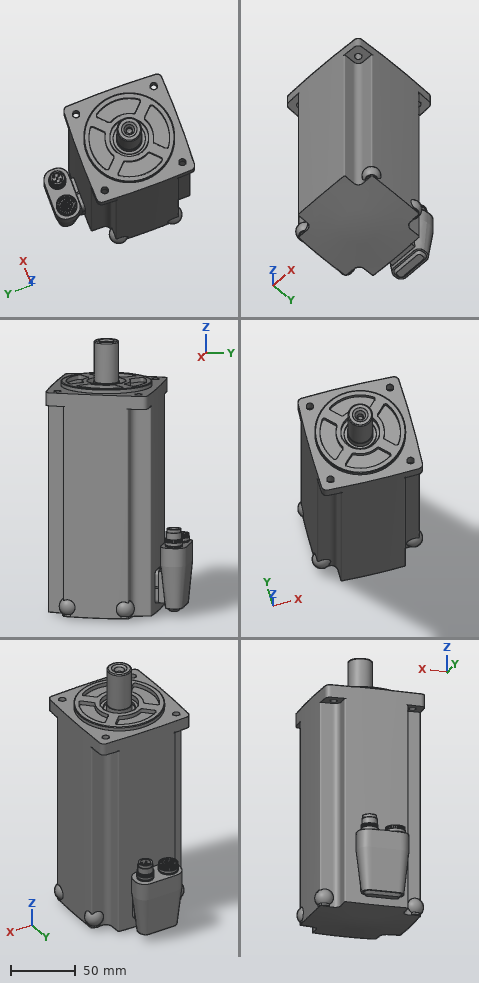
import cadquery as cq
import math

TOTAL_HEIGHT = 213
HALF_WIDTH = 41.1
HALF_WIDTH_AT_CORNER = 40.0
FLANGE_CORNER_RADIUS = 4.0
FLANGE_TOP = 178.0
BOTTOM_CONE_ANGLE = 3.2

NOTCH_TOP = 167.8
NOTCH_START = 25.8
NOTCH_INNER_RADIUS = 5.1
NOTCH_EDGE_RADIUS = 1.0

MOUNT_HOLE_DIAMETER = 5.5
MOUNT_HOLE_OFFSET = 32

PILOT_DIAMETER = 70.3
PILOT_TOP = 181.5
PILOT_CHAMFER = 0.6
POCKET_INNER_RADIUS = 18.7
POCKET_OUTER_RADIUS = 31.0
POCKET_RIB_WIDTH = 8.0
POCKET_CORNER_RADIUS = 1.7

SHAFT_DIAMETER = 19.0
SHAFT_CHAMFER = 0.9
COLLAR_DIAMETER = 20.0
COLLAR_TOP = 181
RECESS_DIAMETER = 30.0
RECESS_DEPTH = 4.0
SEAL_BORE_DIAMETER = 25.0
SEAL_BORE_DEPTH = 6.0

CENTRE_MOUTH_DIAMETER = 12.0
CENTRE_SEAT_DIAMETER = 8.0
CENTRE_DRILL_DIAMETER = 5.0
CENTRE_MOUTH_DEPTH = 1.3
CENTRE_SEAT_DEPTH = 4.0
CENTRE_DRILL_DEPTH = 8.5
DRILL_POINT_ANGLE = 118

BALL_DIAMETER = 14.7
BALL_X = 36.53
BALL_Y = 22.2
BALL_Z = 10.0
BALL_FOOT_DIAMETER = 9.8
BALL_FOOT_BOTTOM = 3.0

HOUSING_BACK = 65.4
HOUSING_WIDTH = 41.0
HOUSING_THICKNESS = 20.0
HOUSING_CORNER_RADIUS = 8.5
HOUSING_Y = HOUSING_BACK - HOUSING_THICKNESS / 2
HOUSING_TOP = 55.4
HOUSING_TAPER_TOP = 40.7
HOUSING_BOTTOM = 7.0
HOUSING_BOTTOM_WIDTH = 33.2
HOUSING_BOTTOM_THICKNESS = 13.2
HOUSING_BOTTOM_RADIUS = 5.5
HOUSING_BOTTOM_SHIFT = 0.2
HOUSING_CAP_HEIGHT = 2.3
HOUSING_CAP_INSET = 1.5
HOUSING_CAP_TAPER = 40

BRACKET_WIDTH = 24.7
BRACKET_BOTTOM = 10.9
BRACKET_TOP = 35.4
PLATE_WIDTH = 26.2
PLATE_BOTTOM = 10.0
PLATE_TOP = 35.5
PLATE_BACK = 43.7
PLATE_CORNER_RADIUS = 3.5
PLATE_GROOVE_WIDTH = 1.3
PLATE_GROOVE_DEPTH = 0.5

SOCKET_X = 10.5
GRIP_BOTTOM = 56.5
GRIP_TOP = 59.0
KNURL_TOP = 61.5
KNURL_COUNT = 24
KNURL_WIDTH = 0.6
KNURL_DEPTH = 0.9
SOCKET_BORE_DEPTH = 4.3
PIN_ROOT = 0.5
PIN_HEIGHT = 3.2
PIN_START_ANGLE = 45
WIDE_SOCKET = {
    "knurl_diameter": 15.1,
    "grip_diameter": 16.0,
    "steps": [(13.5, KNURL_TOP)],
    "bore_diameter": 11.7,
    "pin_diameter": 1.25,
    "pin_circles": [(0, 1), (2.1, 6), (4.0, 12)],
}
TALL_SOCKET = {
    "knurl_diameter": 13.0,
    "grip_diameter": 13.5,
    "steps": [(12.0, 66.7), (10.9, 69.2)],
    "bore_diameter": 8.0,
    "pin_diameter": 1.25,
    "pin_circles": [(0, 1), (2.8, 4)],
}


def cylinder(diameter, bottom, top, x=0, y=0):
    base = cq.Workplane("XY", origin=(x, y, bottom))
    return base.circle(diameter / 2).extrude(top - bottom)


def box(width, y_range, z_range):
    """Box centred on x = 0."""
    length = y_range[1] - y_range[0]
    height = z_range[1] - z_range[0]
    base = cq.Workplane("XY", origin=(0, y_range[0] + length / 2, z_range[0]))
    return base.rect(width, length).extrude(height)


def is_notch_rim(edge):
    """True for the long vertical edges where a notch meets an outer side."""
    middle = edge.Center()
    near, far = sorted((abs(middle.x), abs(middle.y)))
    at_rim = math.isclose(near, NOTCH_START) and far > HALF_WIDTH_AT_CORNER
    return at_rim and edge.geomType() == "LINE"


def motor_block():
    corner = HALF_WIDTH_AT_CORNER
    middle = HALF_WIDTH
    block = (
        cq.Workplane("XY")
        .moveTo(-corner, -corner)
        .threePointArc((0, -middle), (corner, -corner))
        .threePointArc((middle, 0), (corner, corner))
        .threePointArc((0, middle), (-corner, corner))
        .threePointArc((-middle, 0), (-corner, -corner))
        .close()
        .extrude(FLANGE_TOP)
        .edges("|Z")
        .fillet(FLANGE_CORNER_RADIUS)
    )
    notch_size = middle - NOTCH_START
    notch = (
        cq.Workplane("XY", origin=(NOTCH_START, NOTCH_START, 0))
        .rect(notch_size, notch_size, centered=False)
        .extrude(NOTCH_TOP)
        .edges("|Z and <X and <Y")
        .fillet(NOTCH_INNER_RADIUS)
    )
    for turn in range(4):
        block = block.cut(notch.rotate((0, 0, 0), (0, 0, 1), 90 * turn))
    rims = [edge for edge in block.edges("|Z").vals() if is_notch_rim(edge)]
    block = block.newObject(rims).fillet(NOTCH_EDGE_RADIUS)

    reach = 2 * HALF_WIDTH
    rise = reach * math.tan(math.radians(BOTTOM_CONE_ANGLE))
    envelope = (
        cq.Workplane("XZ")
        .polyline([(0, 0), (reach, rise), (reach, TOTAL_HEIGHT), (0, TOTAL_HEIGHT)])
        .close()
        .revolve(360, (0, 0, 0), (0, 1, 0))
    )
    return block.intersect(envelope)


def mount_holes():
    side = 2 * MOUNT_HOLE_OFFSET
    return (
        cq.Workplane("XY")
        .rect(side, side, forConstruction=True)
        .vertices()
        .circle(MOUNT_HOLE_DIAMETER / 2)
        .extrude(FLANGE_TOP)
    )


def pilot():
    disc = cylinder(PILOT_DIAMETER, FLANGE_TOP, PILOT_TOP)
    return disc.faces(">Z").edges().chamfer(PILOT_CHAMFER)


def pilot_pockets():
    """Ring on the flange plane, split into four by two diagonal ribs."""
    ring = cylinder(2 * POCKET_OUTER_RADIUS, FLANGE_TOP, PILOT_TOP).cut(
        cylinder(2 * POCKET_INNER_RADIUS, FLANGE_TOP, PILOT_TOP)
    )
    rib = box(POCKET_RIB_WIDTH, (-PILOT_DIAMETER, PILOT_DIAMETER), (FLANGE_TOP, PILOT_TOP))
    for angle in (45, -45):
        ring = ring.cut(rib.rotate((0, 0, 0), (0, 0, 1), angle))
    return ring.edges("|Z").fillet(POCKET_CORNER_RADIUS)


def seal_recess():
    recess = cylinder(RECESS_DIAMETER, PILOT_TOP - RECESS_DEPTH, PILOT_TOP)
    return recess.union(cylinder(SEAL_BORE_DIAMETER, PILOT_TOP - SEAL_BORE_DEPTH, PILOT_TOP))


def shaft():
    root = PILOT_TOP - SEAL_BORE_DEPTH
    pin = cylinder(SHAFT_DIAMETER, root, TOTAL_HEIGHT).faces(">Z").edges().chamfer(SHAFT_CHAMFER)
    drill_radius = CENTRE_DRILL_DIAMETER / 2
    point_length = drill_radius / math.tan(math.radians(DRILL_POINT_ANGLE / 2))
    centre_hole = (
        cq.Workplane("XZ", origin=(0, 0, TOTAL_HEIGHT))
        .lineTo(CENTRE_MOUTH_DIAMETER / 2, 0)
        .lineTo(CENTRE_SEAT_DIAMETER / 2, -CENTRE_MOUTH_DEPTH)
        .lineTo(drill_radius, -CENTRE_SEAT_DEPTH)
        .lineTo(drill_radius, -CENTRE_DRILL_DEPTH)
        .lineTo(0, -CENTRE_DRILL_DEPTH - point_length)
        .close()
        .revolve(360, (0, 0, 0), (0, 1, 0))
    )
    return pin.union(cylinder(COLLAR_DIAMETER, root, COLLAR_TOP)).cut(centre_hole)


def screw_cover(x, y):
    ball = cq.Workplane("XY").sphere(BALL_DIAMETER / 2).translate((x, y, BALL_Z))
    return ball.union(cylinder(BALL_FOOT_DIAMETER, BALL_FOOT_BOTTOM, BALL_Z, x, y))


def rounded_section(width, thickness, radius):
    return cq.Sketch().rect(width, thickness).vertices().fillet(radius)


def connector_housing():
    top_section = rounded_section(HOUSING_WIDTH, HOUSING_THICKNESS, HOUSING_CORNER_RADIUS)
    bottom_section = rounded_section(
        HOUSING_BOTTOM_WIDTH, HOUSING_BOTTOM_THICKNESS, HOUSING_BOTTOM_RADIUS
    )
    cap_section = rounded_section(
        HOUSING_BOTTOM_WIDTH - 2 * HOUSING_CAP_INSET,
        HOUSING_BOTTOM_THICKNESS - 2 * HOUSING_CAP_INSET,
        HOUSING_BOTTOM_RADIUS - HOUSING_CAP_INSET,
    )
    bottom_y = HOUSING_Y + HOUSING_BOTTOM_SHIFT
    upper = (
        cq.Workplane("XY", origin=(0, HOUSING_Y, HOUSING_TAPER_TOP))
        .placeSketch(top_section)
        .extrude(HOUSING_TOP - HOUSING_TAPER_TOP)
    )
    drop = cq.Location(cq.Vector(0, HOUSING_BOTTOM_SHIFT, HOUSING_BOTTOM - HOUSING_TAPER_TOP))
    lower = (
        cq.Workplane("XY", origin=(0, HOUSING_Y, HOUSING_TAPER_TOP))
        .placeSketch(top_section, bottom_section.moved(drop))
        .loft(ruled=True)
    )
    cap = (
        cq.Workplane("XY", origin=(0, bottom_y, HOUSING_BOTTOM))
        .placeSketch(cap_section)
        .extrude(-HOUSING_CAP_HEIGHT, taper=HOUSING_CAP_TAPER)
    )
    return upper.union(lower).union(cap)


def bracket():
    plate = box(PLATE_WIDTH, (HALF_WIDTH_AT_CORNER, PLATE_BACK), (PLATE_BOTTOM, PLATE_TOP))
    plate = plate.edges("|Y").fillet(PLATE_CORNER_RADIUS)
    middle_z = (PLATE_BOTTOM + PLATE_TOP) / 2
    core = (
        cq.Workplane("XZ", origin=(0, PLATE_BACK, middle_z))
        .rect(PLATE_WIDTH - 2 * PLATE_GROOVE_DEPTH, PLATE_TOP - PLATE_BOTTOM - 2 * PLATE_GROOVE_DEPTH)
        .extrude(PLATE_BACK - HALF_WIDTH)
    )
    half_groove = PLATE_GROOVE_WIDTH / 2
    grooves = box(PLATE_GROOVE_WIDTH, (HALF_WIDTH, PLATE_BACK), (PLATE_BOTTOM, PLATE_TOP)).union(
        box(PLATE_WIDTH, (HALF_WIDTH, PLATE_BACK), (middle_z - half_groove, middle_z + half_groove))
    )
    neck = box(BRACKET_WIDTH, (PLATE_BACK, HOUSING_Y), (BRACKET_BOTTOM, BRACKET_TOP))
    return plate.cut(grooves.cut(core)).union(neck)


def knurled_ring(diameter, bottom, top, x):
    ring = cylinder(diameter, bottom, top, x, HOUSING_Y)
    slots = (
        cq.Workplane("XY", origin=(x, HOUSING_Y, bottom))
        .polarArray(diameter / 2, 0, 360, KNURL_COUNT)
        .rect(2 * KNURL_DEPTH, KNURL_WIDTH)
        .extrude(top - bottom)
    )
    return ring.cut(slots)


def socket(x, knurl_diameter, grip_diameter, steps, bore_diameter, pin_diameter, pin_circles):
    """Knurled ring and stepped sleeve; pins stand on the floor of the bore."""
    body = knurled_ring(knurl_diameter, HOUSING_TOP, KNURL_TOP, x)
    body = body.union(cylinder(grip_diameter, GRIP_BOTTOM, GRIP_TOP, x, HOUSING_Y))
    for diameter, top in steps:
        body = body.union(cylinder(diameter, HOUSING_TOP, top, x, HOUSING_Y))
    rim = steps[-1][1]
    floor = rim - SOCKET_BORE_DEPTH
    body = body.cut(cylinder(bore_diameter, floor, rim, x, HOUSING_Y))
    for radius, count in pin_circles:
        pins = (
            cq.Workplane("XY", origin=(x, HOUSING_Y, floor - PIN_ROOT))
            .polarArray(radius, PIN_START_ANGLE, 360, count)
            .circle(pin_diameter / 2)
            .extrude(PIN_ROOT + PIN_HEIGHT)
        )
        body = body.union(pins)
    return body


motor = motor_block().cut(mount_holes())
motor = motor.union(pilot()).cut(pilot_pockets()).cut(seal_recess())
motor = motor.union(shaft())
for x_side in (-1, 1):
    for y_side in (-1, 1):
        motor = motor.union(screw_cover(x_side * BALL_X, y_side * BALL_Y))

result = motor.union(bracket()).union(connector_housing())
result = result.union(socket(-SOCKET_X, **WIDE_SOCKET)).union(socket(SOCKET_X, **TALL_SOCKET))